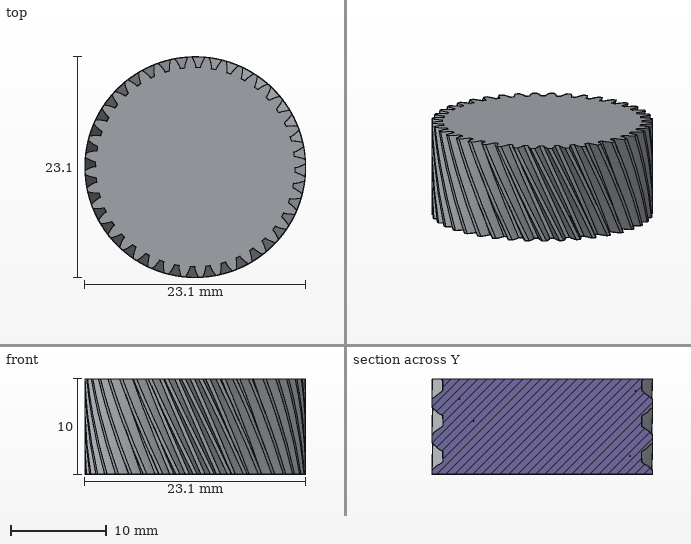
import cadquery as cq
import math

tip_diameter = 23.07
face_width = 10.0
tooth_count = 40
helix_angle = math.radians(25.0)
normal_pressure_angle = math.radians(20.0)
addendum_factor = 1.0
dedendum_factor = 1.25 * addendum_factor
flank_steps = 5

tip_radius = tip_diameter / 2
pitch_radius_factor = tooth_count / (2 * math.cos(helix_angle))
normal_module = tip_radius / (pitch_radius_factor + addendum_factor)
pitch_radius = pitch_radius_factor * normal_module
root_radius = pitch_radius - dedendum_factor * normal_module
pressure_angle = math.atan(math.tan(normal_pressure_angle) / math.cos(helix_angle))
base_radius = pitch_radius * math.cos(pressure_angle)

tooth_pitch = 2 * math.pi / tooth_count
half_tooth_at_pitch = tooth_pitch / 4
twist_angle = face_width * math.tan(helix_angle) / pitch_radius


def involute_angle(angle):
    """Polar angle swept by an involute at the given pressure angle."""
    return math.tan(angle) - angle


def half_tooth_angle(radius):
    """Half the angular thickness of a tooth at the given radius."""
    local_pressure_angle = math.acos(base_radius / radius)
    return half_tooth_at_pitch + involute_angle(pressure_angle) - involute_angle(local_pressure_angle)


def polar(radius, angle):
    return (radius * math.cos(angle), radius * math.sin(angle))


def flank_points(tooth_centre, side):
    """Root-to-tip points of one flank; side is -1 for the clockwise flank and 1 for the other."""
    points = []
    for step in range(flank_steps + 1):
        radius = root_radius + (tip_radius - root_radius) * step / flank_steps
        points.append(polar(radius, tooth_centre + side * half_tooth_angle(radius)))
    return points


def gear_profile():
    """Closed tooth outline with one tooth centred on +X."""
    profile = cq.Workplane("XY").moveTo(*flank_points(0, -1)[0])
    for tooth in range(tooth_count):
        centre = tooth * tooth_pitch
        rising_flank = flank_points(centre, -1)
        falling_flank = flank_points(centre, 1)[::-1]
        next_root = flank_points(centre + tooth_pitch, -1)[0]
        profile = (
            profile.spline(rising_flank[1:], includeCurrent=True)
            .threePointArc(polar(tip_radius, centre), falling_flank[0])
            .spline(falling_flank[1:], includeCurrent=True)
            .threePointArc(polar(root_radius, centre + tooth_pitch / 2), next_root)
        )
    return profile.close()


result = gear_profile().twistExtrude(face_width, -math.degrees(twist_angle))